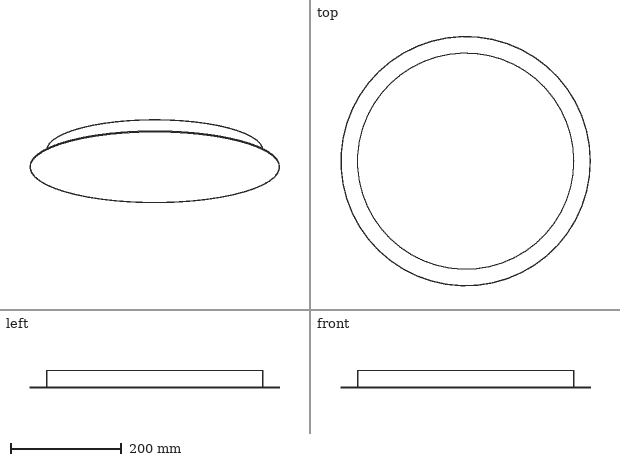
import cadquery as cq

flange_diameter = 450.0
flange_thickness = 2.0
rim_width = 30.0
total_height = 32.0

disc_diameter = flange_diameter - 2 * rim_width
disc_height = total_height - flange_thickness


def make_flange():
    """Thin round plate lying on the XY plane."""
    return cq.Workplane("XY").circle(flange_diameter / 2).extrude(flange_thickness)


def make_disc():
    """Plain round disc standing on the flange, concentric with it."""
    seat = cq.Workplane("XY").workplane(offset=flange_thickness)
    return seat.circle(disc_diameter / 2).extrude(disc_height)


flange = make_flange()
disc = make_disc()

result = cq.Compound.makeCompound([flange.val(), disc.val()])